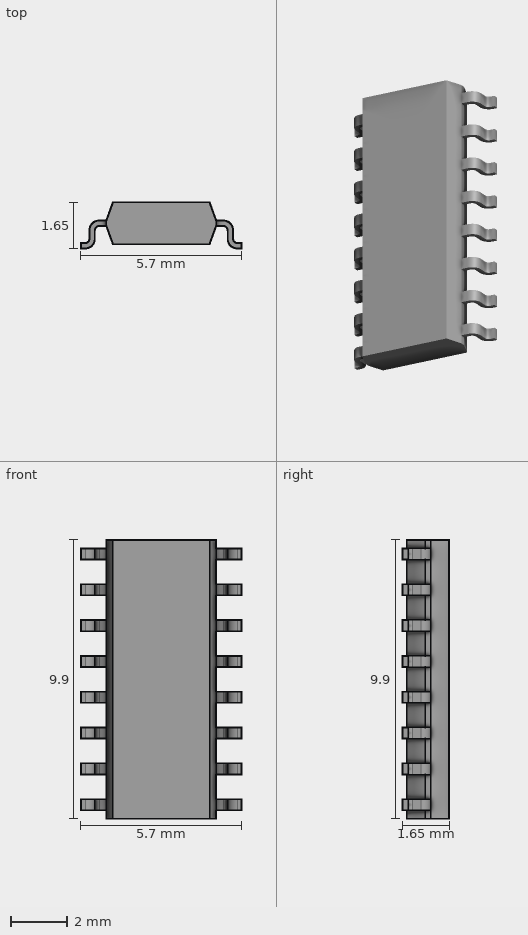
import cadquery as cq
import math


span = 5.7
package_depth = 1.65
body_length = 9.9

body_width = 3.9
body_depth = 1.5
side_draft = 20

leads_per_side = 8
lead_pitch = 1.27
lead_width = 0.4
lead_thickness = 0.2
inner_bend_radius = 0.15
foot_flat = 0.15
root_overlap = 0.1

outer_bend_radius = inner_bend_radius + lead_thickness
seating_y = -package_depth / 2
back_y = package_depth / 2
front_y = back_y - body_depth
body_middle_y = (front_y + back_y) / 2
band_low_y = body_middle_y - lead_thickness / 2
band_high_y = body_middle_y + lead_thickness / 2


def make_body():
    """Prism with a flat band along each side and tapers to front and back."""
    band_x = body_width / 2
    face_x = band_x - (back_y - band_high_y) * math.tan(math.radians(side_draft))
    section = [
        (-face_x, front_y),
        (face_x, front_y),
        (band_x, band_low_y),
        (band_x, band_high_y),
        (face_x, back_y),
        (-face_x, back_y),
        (-band_x, band_high_y),
        (-band_x, band_low_y),
    ]
    return cq.Workplane("XY").polyline(section).close().extrude(body_length / 2, both=True)


def make_lead():
    """One lead on the +X side, centred on Z = 0: foot, two bends and root."""
    tip_x = span / 2
    root_x = body_width / 2 - root_overlap
    foot_bend_x = tip_x - foot_flat
    foot_bend_y = seating_y + outer_bend_radius
    shoulder_bend_x = foot_bend_x - inner_bend_radius - outer_bend_radius
    shoulder_bend_y = band_high_y - outer_bend_radius
    foot_top_y = seating_y + lead_thickness
    diagonal = math.sqrt(0.5)

    def foot_arc_middle(radius):
        return (foot_bend_x - radius * diagonal, foot_bend_y - radius * diagonal)

    def shoulder_arc_middle(radius):
        return (shoulder_bend_x + radius * diagonal, shoulder_bend_y + radius * diagonal)

    outline = (
        cq.Workplane("XY")
        .moveTo(tip_x, seating_y)
        .lineTo(foot_bend_x, seating_y)
        .threePointArc(
            foot_arc_middle(outer_bend_radius),
            (foot_bend_x - outer_bend_radius, foot_bend_y),
        )
        .lineTo(shoulder_bend_x + inner_bend_radius, shoulder_bend_y)
        .threePointArc(
            shoulder_arc_middle(inner_bend_radius),
            (shoulder_bend_x, band_low_y),
        )
        .lineTo(root_x, band_low_y)
        .lineTo(root_x, band_high_y)
        .lineTo(shoulder_bend_x, band_high_y)
        .threePointArc(
            shoulder_arc_middle(outer_bend_radius),
            (shoulder_bend_x + outer_bend_radius, shoulder_bend_y),
        )
        .lineTo(foot_bend_x - inner_bend_radius, foot_bend_y)
        .threePointArc(
            foot_arc_middle(inner_bend_radius),
            (foot_bend_x, foot_top_y),
        )
        .lineTo(tip_x, foot_top_y)
        .close()
    )
    return outline.extrude(lead_width / 2, both=True)


right_lead = make_lead()
left_lead = right_lead.mirror("YZ")

result = make_body()
for row in range(leads_per_side):
    lead_z = (row - (leads_per_side - 1) / 2) * lead_pitch
    for lead in (right_lead, left_lead):
        result = result.union(lead.translate((0, 0, lead_z)))